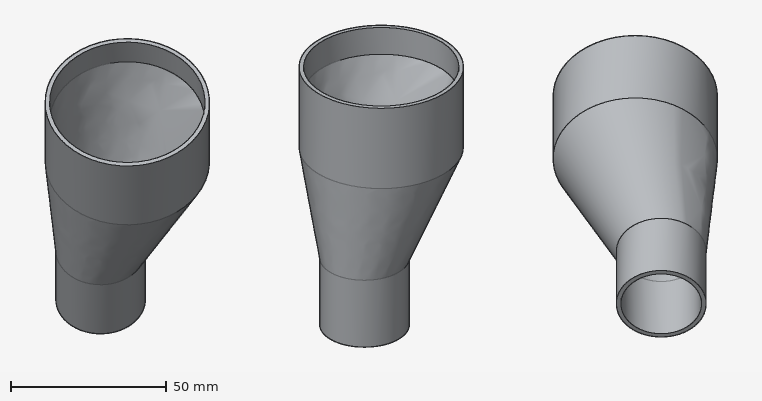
import cadquery as cq

total_height = 90.0
spigot_height = 25.0
cone_height = 35.0

socket_bore_depth = 10.0
spigot_bore_length = spigot_height

socket_outer_diameter = 53.0
socket_inner_diameter = 50.0
spigot_outer_diameter = 29.0
spigot_inner_diameter = 26.0

spigot_axis_y = -(socket_outer_diameter - spigot_outer_diameter) / 2


def reducer_shape(spigot_diameter, socket_diameter, cone_bottom, cone_top):
    """Solid spigot, slanted cone between the two heights, and socket."""
    spigot = (
        cq.Workplane("XY")
        .center(0, spigot_axis_y)
        .circle(spigot_diameter / 2)
        .extrude(cone_bottom)
    )
    cone = (
        cq.Workplane("XY", origin=(0, spigot_axis_y, cone_bottom))
        .circle(spigot_diameter / 2)
        .workplane(offset=cone_top - cone_bottom)
        .center(0, -spigot_axis_y)
        .circle(socket_diameter / 2)
        .loft(ruled=True)
    )
    socket = (
        cq.Workplane("XY", origin=(0, 0, cone_top))
        .circle(socket_diameter / 2)
        .extrude(total_height - cone_top)
    )
    return spigot.union(cone).union(socket)


outer_body = reducer_shape(
    spigot_outer_diameter,
    socket_outer_diameter,
    cone_bottom=spigot_height,
    cone_top=spigot_height + cone_height,
)
inner_passage = reducer_shape(
    spigot_inner_diameter,
    socket_inner_diameter,
    cone_bottom=spigot_bore_length,
    cone_top=total_height - socket_bore_depth,
)

result = outer_body.cut(inner_passage)